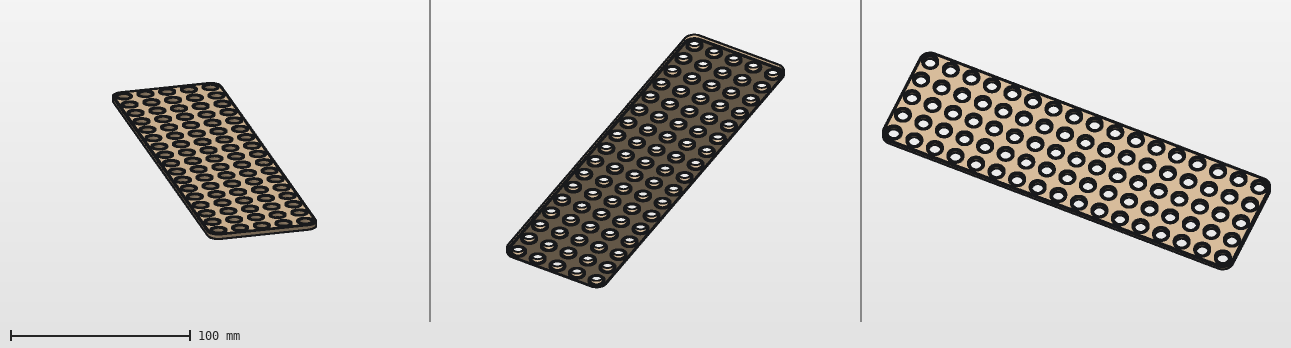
import cadquery as cq

length = 212.5
columns = 17
rows = 5
pitch = length / columns
width = rows * pitch
thickness = 3.2
corner_radius = pitch / 2
edge_chamfer = 0.32

hole_diameter = 7.0
land_width = 1.08
land_diameter = hole_diameter + 2 * land_width

border_width = 0.8
pocket_depth = 0.25


def rounded_block(inset, height):
    """Block centred on the origin, its outline set in evenly from the plate outline."""
    block = cq.Workplane("XY").box(length - 2 * inset, width - 2 * inset, height)
    return block.edges("|Z").fillet(corner_radius - inset)


def hole_pattern():
    """Workplane with a point at the centre of every cell."""
    return cq.Workplane("XY").rarray(pitch, pitch, columns, rows)


def make_plate():
    """Solid plate with the rim chamfered on both faces."""
    return rounded_block(0, thickness).faces("<Z or >Z").edges().chamfer(edge_chamfer)


def make_pocket():
    """Pocket volume centred on the origin, with the lands left out of it."""
    lands = hole_pattern().circle(land_diameter / 2).extrude(pocket_depth, both=True)
    return rounded_block(border_width, pocket_depth).cut(lands)


def make_hole_cutters():
    """One turned cutter per hole: a cylinder that flares out at both faces."""
    bore_radius = hole_diameter / 2
    mouth_radius = bore_radius + edge_chamfer
    face = thickness / 2
    throat = face - edge_chamfer
    profile = (
        cq.Workplane("XZ")
        .moveTo(0, -face)
        .lineTo(mouth_radius, -face)
        .lineTo(bore_radius, -throat)
        .lineTo(bore_radius, throat)
        .lineTo(mouth_radius, face)
        .lineTo(0, face)
        .close()
    )
    cutter = profile.revolve(360, (0, 0, 0), (0, 1, 0)).val()
    return hole_pattern().eachpoint(lambda place: cutter.moved(place), combine=False)


plate = make_plate()

pocket = make_pocket()
pocket_offset = (thickness - pocket_depth) / 2
for side in (1, -1):
    plate = plate.cut(pocket.translate((0, 0, side * pocket_offset)))

result = plate.cut(make_hole_cutters())